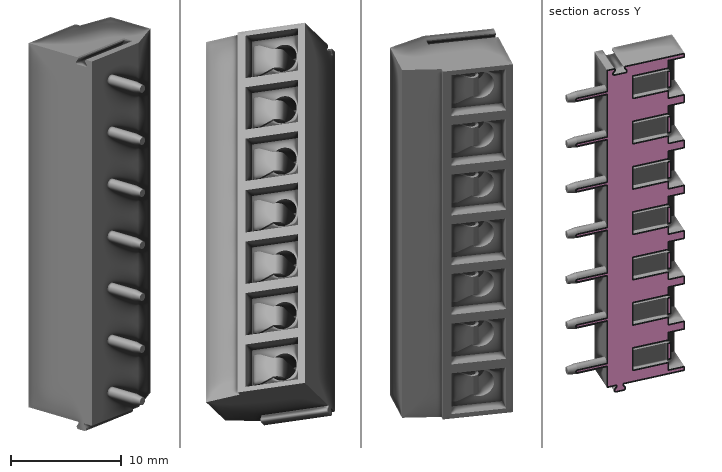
import cadquery as cq

pole_count = 7
pitch = 5.0
body_height = pole_count * pitch
rail_height = 0.7
overall_height = body_height + rail_height
overall_length = 11.2
pole_centers = [rail_height + (i + 0.5) * pitch for i in range(pole_count)]

body_depth = 7.5
body_width = 10.0
step_y = 6.5
step_size = 0.55
crown_start_x = 1.18
crown_end_x = 5.9

window_width = 5.05
window_height = 4.1
window_y = 0.65
window_depth = 1.55
window_end_y = window_y + window_width

axis_y = 2.68
hole_diameter = 2.6
hole_end_x = 5.0

leaf_thickness = 0.3
leaf_root_width = 2.9
leaf_tip_width = 1.82
leaf_taper_start_y = 4.85
leaf_taper_end_y = 3.57
leaf_face_x = window_depth - leaf_thickness
leaf_flat_end_y = 5.17
leaf_root_gap = 0.07
leaf_root_y = window_end_y - leaf_root_gap
root_bend_radius = leaf_root_y - leaf_flat_end_y
tip_bend_radius = 0.68
tip_bend_start_y = 3.43
tip_end_y = tip_bend_start_y - tip_bend_radius

pin_diameter = 1.0
pin_tip_diameter = 0.7
pin_tip_length = 0.85
pin_shoulder_x = overall_length - pin_tip_length

dovetail_x = 6.25
dovetail_length = step_y
rail_neck_width = 0.65
rail_neck_height = 0.1
rail_foot_width = 1.55
rail_rounding = 0.2
groove_depth = 0.68
groove_lip_width = 1.07
groove_lip_depth = 0.1
groove_neck_width = 0.85
groove_neck_depth = 0.2
groove_floor_width = 1.65
groove_rounding = 0.15


def make_housing():
    """Housing cross-section extruded along the row of poles."""
    outline = [
        (0, 0),
        (body_depth, 0),
        (body_depth, step_y),
        (crown_end_x, body_width),
        (crown_start_x, body_width),
        (step_size, step_y),
        (0, step_y),
    ]
    housing = cq.Workplane("XY").workplane(offset=rail_height)
    return housing.polyline(outline).close().extrude(body_height)


def make_dovetail(half_outline, rounding):
    """Prism along Y from (half width, Z) points listed from the mouth to the rounded far edge."""
    right_side = [(dovetail_x + half, z) for half, z in half_outline]
    left_side = [(dovetail_x - half, z) for half, z in reversed(half_outline)]
    prism = cq.Workplane("XZ").polyline(right_side + left_side).close().extrude(-dovetail_length)
    far_z = half_outline[-1][1]
    far_half = half_outline[-1][0]
    selector = cq.selectors.BoxSelector(
        (dovetail_x - far_half - rounding, 0, far_z - rounding / 2),
        (dovetail_x + far_half + rounding, dovetail_length, far_z + rounding / 2),
    )
    return prism.edges("|Y").edges(selector).fillet(rounding)


def make_rail():
    """Dovetail rail hanging below the housing."""
    half_outline = [
        (rail_neck_width / 2, rail_height),
        (rail_neck_width / 2, rail_height - rail_neck_height),
        (rail_foot_width / 2, 0),
    ]
    return make_dovetail(half_outline, rail_rounding)


def make_groove():
    """Cutter for the matching groove, with bevelled lips at its mouth."""
    half_outline = [
        (groove_lip_width / 2, overall_height),
        (groove_neck_width / 2, overall_height - groove_lip_depth),
        (groove_neck_width / 2, overall_height - groove_neck_depth),
        (groove_floor_width / 2, overall_height - groove_depth),
    ]
    return make_dovetail(half_outline, groove_rounding)


def make_opening(z):
    """Cutter for one rectangular wire opening and the round hole in its floor."""
    window = cq.Workplane("XY").box(window_depth, window_width, window_height, centered=(False, False, True))
    hole = cq.Workplane("YZ").center(axis_y, 0).circle(hole_diameter / 2).extrude(hole_end_x)
    return window.translate((0, window_y, 0)).union(hole).translate((0, 0, z))


def make_leaf(z):
    """Bent leaf: rounded root beside the +Y wall, flat tapered face, tip turned down into the hole."""
    root_end_x = leaf_face_x + root_bend_radius
    tip_center_x = leaf_face_x + tip_bend_radius
    tip_inner_radius = tip_bend_radius - leaf_thickness
    tip_inner_y = tip_end_y + leaf_thickness
    bent_strip = (
        cq.Workplane("XY")
        .moveTo(leaf_face_x, leaf_flat_end_y)
        .radiusArc((root_end_x, leaf_root_y), root_bend_radius)
        .lineTo(root_end_x, leaf_flat_end_y)
        .lineTo(window_depth, leaf_flat_end_y)
        .lineTo(window_depth, tip_bend_start_y)
        .radiusArc((tip_center_x, tip_inner_y), -tip_inner_radius)
        .lineTo(hole_end_x, tip_inner_y)
        .lineTo(hole_end_x, tip_end_y)
        .lineTo(tip_center_x, tip_end_y)
        .radiusArc((leaf_face_x, tip_bend_start_y), tip_bend_radius)
        .close()
        .extrude(leaf_root_width / 2, both=True)
    )
    face_outline = [
        (leaf_root_y, leaf_root_width / 2),
        (leaf_taper_start_y, leaf_root_width / 2),
        (leaf_taper_end_y, leaf_tip_width / 2),
        (tip_end_y, leaf_tip_width / 2),
        (tip_end_y, -leaf_tip_width / 2),
        (leaf_taper_end_y, -leaf_tip_width / 2),
        (leaf_taper_start_y, -leaf_root_width / 2),
        (leaf_root_y, -leaf_root_width / 2),
    ]
    face = cq.Workplane("YZ").polyline(face_outline).close().extrude(hole_end_x)
    return bent_strip.intersect(face).translate((0, 0, z))


def make_pin(z):
    """Round solder pin with a tapered tip, standing on the +X face."""
    half_profile = [
        (body_depth, 0),
        (body_depth, -pin_diameter / 2),
        (pin_shoulder_x, -pin_diameter / 2),
        (overall_length, -pin_tip_diameter / 2),
        (overall_length, 0),
    ]
    pin = cq.Workplane("XY").polyline(half_profile).close().revolve(360, (0, 0, 0), (1, 0, 0))
    return pin.translate((0, axis_y, z))


result = make_housing().union(make_rail()).cut(make_groove())
for pole_z in pole_centers:
    result = result.cut(make_opening(pole_z))
    result = result.union(make_leaf(pole_z))
    result = result.union(make_pin(pole_z))